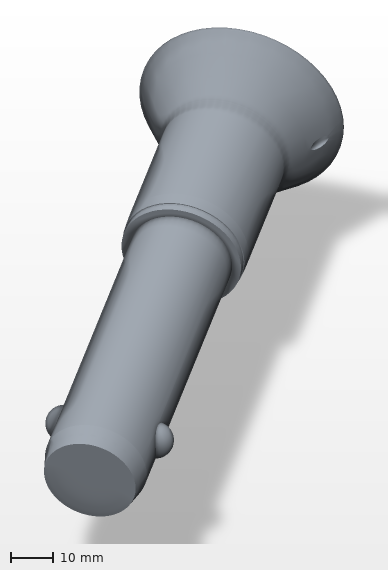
import cadquery as cq

length = 136.8
head_rim_width = 1.1
head_rim_round = 0.5
blend_back_y = 121.0
blend_front_y = 119.0
grip_taper_y = 87.3
collar_back_y = 84.0
collar_front_y = 82.0
tip_length = 5.5

head_radius = 50.0 / 2
blend_radius_at_cone = 15.6
grip_radius = 15.0
grip_end_radius = 14.9
collar_radius = 14.6
shank_radius = 12.5
tip_radius = 11.2

ball_radius = 4.4
ball_reach = 15.6
ball_y = 17.8

hole_diameter = 3.0
hole_x = 20.9


def turned_body():
    """Tip, shank, collar, grip and flared head, revolved about Y."""
    rim_front_y = length - head_rim_width
    return (
        cq.Workplane("XY")
        .moveTo(0, 0)
        .lineTo(tip_radius, 0)
        .lineTo(shank_radius, tip_length)
        .lineTo(shank_radius, collar_front_y)
        .lineTo(collar_radius, collar_front_y)
        .lineTo(collar_radius, collar_back_y)
        .lineTo(grip_end_radius, collar_back_y)
        .lineTo(grip_radius, grip_taper_y)
        .lineTo(grip_radius, blend_front_y)
        .tangentArcPoint((blend_radius_at_cone, blend_back_y), relative=False)
        .lineTo(head_radius, rim_front_y)
        .lineTo(head_radius, length - head_rim_round)
        .tangentArcPoint((head_radius - head_rim_round, length), relative=False)
        .lineTo(0, length)
        .close()
        .revolve(360, (0, 0, 0), (0, 1, 0))
    )


def locking_ball(side):
    """Ball partly sunk in the shank on the +X (1) or -X (-1) side."""
    center_x = side * (ball_reach - ball_radius)
    return cq.Workplane("XY").sphere(ball_radius).translate((center_x, ball_y, 0))


def lanyard_hole():
    """Cylinder along Y that pierces the head beside the grip."""
    return (
        cq.Workplane("XZ", origin=(hole_x, length, 0))
        .circle(hole_diameter / 2)
        .extrude(length - blend_front_y)
    )


result = turned_body()
for side in (-1, 1):
    result = result.union(locking_ball(side))
result = result.cut(lanyard_hole())